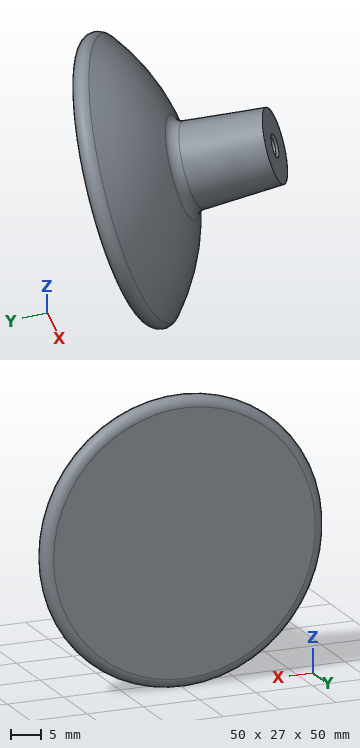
import cadquery as cq
import math

knob_radius = 25.0
knob_length = 27.0

rim_round = 1.75

dome_radius = 37.15

stem_tip_radius = 6.5
stem_taper = math.radians(4.0)
blend_radius = 2.0

hole_radius = 3.25 / 2
hole_chamfer = 0.4
hole_depth = 10.0
drill_point_half_angle = math.radians(118.0 / 2)


def polar_point(center, radius, angle):
    """Point on a circle, with the angle measured from +X."""
    return center[0] + radius * math.cos(angle), center[1] + radius * math.sin(angle)


def revolve_about_y(profile):
    return profile.close().revolve(360, (0, 0, 0), (0, 1, 0))


def make_body():
    rim_center = (knob_radius - rim_round, -rim_round)
    center_rise = math.sqrt((dome_radius - rim_round) ** 2 - rim_center[0] ** 2)
    dome_center = (0, rim_center[1] + center_rise)
    rim_angle = -math.atan2(center_rise, rim_center[0])
    rim_edge = polar_point(rim_center, rim_round, rim_angle)

    flank_normal = -stem_taper
    flank_distance = (
        stem_tip_radius * math.cos(stem_taper)
        + (knob_length + dome_center[1]) * math.sin(stem_taper)
        + blend_radius
    )
    center_distance = dome_radius + blend_radius
    blend_angle = flank_normal - math.acos(flank_distance / center_distance)
    blend_center = polar_point(dome_center, center_distance, blend_angle)
    dome_end = polar_point(dome_center, dome_radius, blend_angle)
    stem_root = polar_point(blend_center, -blend_radius, flank_normal)

    rim_middle = polar_point(rim_center, rim_round, 0)
    dome_middle = polar_point(dome_center, dome_radius, (rim_angle + blend_angle) / 2)
    blend_middle = polar_point(blend_center, -blend_radius, (blend_angle + flank_normal) / 2)

    profile = (
        cq.Workplane("XY")
        .lineTo(rim_center[0], 0)
        .threePointArc(rim_middle, rim_edge)
        .threePointArc(dome_middle, dome_end)
        .threePointArc(blend_middle, stem_root)
        .lineTo(stem_tip_radius, -knob_length)
        .lineTo(0, -knob_length)
    )
    return revolve_about_y(profile)


def make_hole():
    point_length = hole_radius / math.tan(drill_point_half_angle)
    hole_end = hole_depth - knob_length
    profile = (
        cq.Workplane("XY")
        .moveTo(0, -knob_length)
        .lineTo(hole_radius + hole_chamfer, -knob_length)
        .lineTo(hole_radius, hole_chamfer - knob_length)
        .lineTo(hole_radius, hole_end)
        .lineTo(0, hole_end + point_length)
    )
    return revolve_about_y(profile)


result = make_body().cut(make_hole())